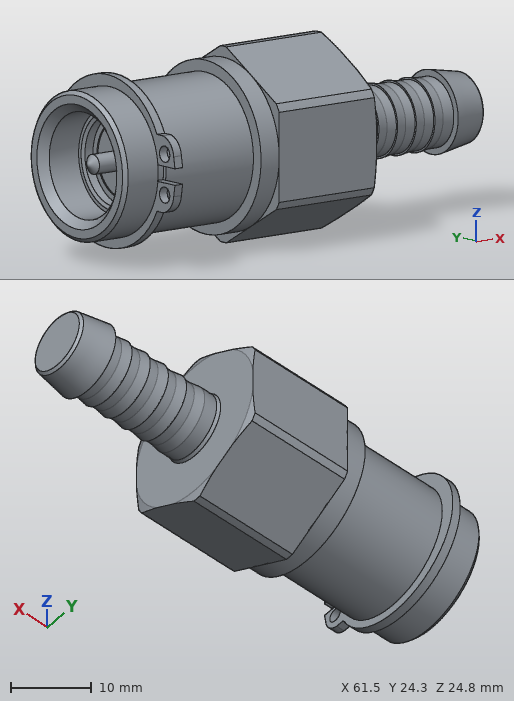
import cadquery as cq
import math

length = 61.5
ring_start = 5.3
ring_thickness = 1.2
ring_end = ring_start + ring_thickness
collar_start = 20.5
hex_start = 23.4
hex_end = 38.9

body_radius = 19.0 / 2
mouth_face_radius = 18.0 / 2
ring_groove_radius = mouth_face_radius
mouth_chamfer = body_radius - mouth_face_radius
collar_radius = 22.0 / 2
hex_flats = 2 * collar_radius
hex_corner_radius = 24.8 / 2
hex_chamfer_length = 0.35
hex_chamfer_depth = 1.2

mouth_radius = 7.9
bore_radius = 13.6 / 2
mouth_taper_length = 1.1
bore_depth = 5.8
seat_radius = 12.6 / 2
seat_inner_radius = 5.8
seat_cone_depth = 5.95
seat_depth = 7.25
floor_radius = 10.0 / 2
floor_depth = 7.45

pin_radius = 2.5 / 2
pin_tip = 1.7
pin_cone_length = 0.85

groove_radius = 9.0 / 2
ridge_radius = 9.5 / 2
root_radius = 4.9
root_length = 0.5
ridge_count = 5
first_ridge = 41.4
last_ridge = 53.3
ridge_pitch = (last_ridge - first_ridge) / (ridge_count - 1)
ridge_taper_length = ridge_pitch / 2
barb_start = 56.5
barb_radius = 5.35
barb_end_radius = 4.55
tip_chamfer = 0.35

ring_radius = 10.95
ring_offset = 0.55
ear_reach = 12.8
ear_shoulder = 10.45
ear_half_height = 4.85
ear_bulge = (-11.8, 4.1)
ear_tip = (-12.55, 2.5)
ring_gap = 2.1
eye_radius = 2.0 / 2
eye_y = -10.75
eye_z = 2.6


def turned(profile):
    """Revolve an (x, radius) outline about the X axis."""
    outline = cq.Workplane("XY").polyline(profile).close()
    return outline.revolve(360, (0, 0, 0), (1, 0, 0))


def make_body():
    """Socket barrel with its ring groove and the collar ahead of the hexagon."""
    return turned([
        (0, 0),
        (0, mouth_face_radius),
        (mouth_chamfer, body_radius),
        (ring_start, body_radius),
        (ring_start, ring_groove_radius),
        (ring_end, ring_groove_radius),
        (ring_end, body_radius),
        (collar_start, body_radius),
        (collar_start, collar_radius),
        (hex_start, collar_radius),
        (hex_start, 0),
    ])


def make_hexagon():
    """Hexagon with corners up and down, its corners and far end turned off."""
    corner_diameter = hex_flats / math.cos(math.pi / 6)
    prism = (
        cq.Workplane("YZ", origin=(hex_start, 0, 0))
        .transformed(rotate=(0, 0, 90))
        .polygon(6, corner_diameter)
        .extrude(hex_end - hex_start)
    )
    envelope = turned([
        (hex_start, 0),
        (hex_start, hex_corner_radius),
        (hex_end - hex_chamfer_length, hex_corner_radius),
        (hex_end, hex_corner_radius - hex_chamfer_depth),
        (hex_end, 0),
    ])
    return prism.intersect(envelope)


def make_hose_barb():
    profile = [
        (hex_end, 0),
        (hex_end, root_radius),
        (hex_end + root_length, ridge_radius),
    ]
    for index in range(ridge_count):
        ridge_x = first_ridge + index * ridge_pitch
        if index > 0:
            profile.append((ridge_x, groove_radius))
        profile.append((ridge_x, ridge_radius))
        profile.append((ridge_x + ridge_taper_length, groove_radius))
    profile += [
        (barb_start, groove_radius),
        (barb_start, barb_radius),
        (length - tip_chamfer, barb_end_radius),
        (length, barb_end_radius - tip_chamfer),
        (length, 0),
    ]
    return turned(profile)


def make_bore():
    return turned([
        (0, 0),
        (0, mouth_radius),
        (mouth_taper_length, bore_radius),
        (bore_depth, bore_radius),
        (bore_depth, seat_radius),
        (seat_cone_depth, seat_inner_radius),
        (seat_depth, seat_inner_radius),
        (seat_depth, floor_radius),
        (floor_depth, floor_radius),
        (floor_depth, 0),
    ])


def make_pin():
    return turned([
        (pin_tip, 0),
        (pin_tip + pin_cone_length, pin_radius),
        (floor_depth, pin_radius),
        (floor_depth, 0),
    ])


def make_retaining_ring():
    """Eccentric ring; its middle is filled so that it fuses with the body."""
    plane = cq.Workplane("YZ", origin=(ring_start, 0, 0))
    ring = plane.center(ring_offset, 0).circle(ring_radius).extrude(ring_thickness)
    upper_ear = (
        plane.moveTo(-mouth_radius, 0)
        .lineTo(-mouth_radius, ear_half_height)
        .lineTo(-ear_shoulder, ear_half_height)
        .threePointArc(ear_bulge, ear_tip)
        .lineTo(-ear_reach, ring_gap / 2)
        .lineTo(-ear_reach, 0)
        .close()
        .extrude(ring_thickness)
    )
    gap_length = 2 * (ear_reach - mouth_radius)
    gap = plane.center(-ear_reach, 0).rect(gap_length, ring_gap).extrude(ring_thickness)
    eyes = (
        plane.pushPoints([(eye_y, eye_z), (eye_y, -eye_z)])
        .circle(eye_radius)
        .extrude(ring_thickness)
    )
    return ring.union(upper_ear).union(upper_ear.mirror("XY")).cut(gap).cut(eyes)


outside = make_body().union(make_hexagon()).union(make_hose_barb()).union(make_retaining_ring())
result = outside.cut(make_bore()).union(make_pin())